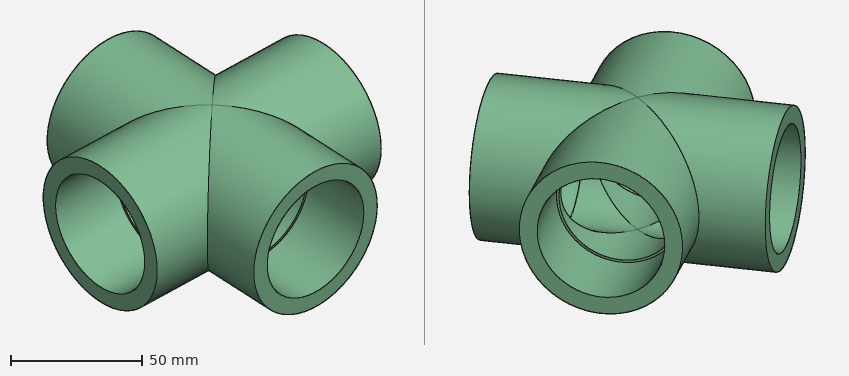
import cadquery as cq

overall_length = 116.0
outer_diameter = 64.0
bore_diameter = 48.0
socket_diameter = 50.0
socket_depth = 31.0

RUN_PLANES = ("XZ", "YZ")


def run_cylinder(plane, diameter, length):
    """Cylinder centred on the origin, along the normal of the given plane."""
    return cq.Workplane(plane).circle(diameter / 2).extrude(length / 2, both=True)


def cross(diameter, length):
    """Two equal cylinders joined at right angles."""
    first, second = (run_cylinder(plane, diameter, length) for plane in RUN_PLANES)
    return first.union(second)


def end_sockets(plane):
    """Wider sockets at both ends of one run, leaving the middle untouched."""
    middle_length = overall_length - 2 * socket_depth
    full_run = run_cylinder(plane, socket_diameter, overall_length)
    middle = run_cylinder(plane, socket_diameter, middle_length)
    return full_run.cut(middle)


result = cross(outer_diameter, overall_length).cut(cross(bore_diameter, overall_length))

for plane in RUN_PLANES:
    result = result.cut(end_sockets(plane))